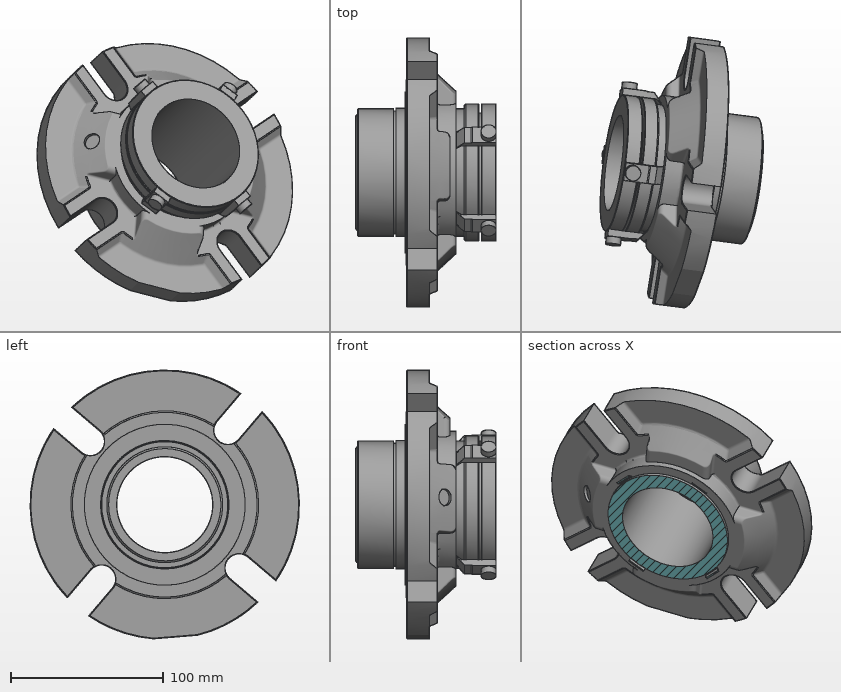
import cadquery as cq
import math

SKEW = -4.65
QUARTER = 90.0

LENGTH = 92.63
BORE_DIAMETER = 62.99
NOSE_DIAMETER = 76.17
NOSE_LENGTH = 1.45
NOSE_CHAMFER = 1.2
SLEEVE_DIAMETER = 84.02
SLEEVE_CHAMFER = 0.6
SLEEVE_GROOVE_DIAMETER = 81.1
SLEEVE_GROOVE_START = 25.2
SLEEVE_GROOVE_WIDTH = 1.5
SHOULDER_DIAMETER = 84.45
COLLAR_DIAMETER = 90.32
COLLAR_START = 71.6
COLLAR_CHAMFER = 1.1
COLLAR_EDGE_BREAK = 0.45
COLLAR_GROOVE_DIAMETER = 78.18
COLLAR_GROOVE_START = 81.2
COLLAR_GROOVE_WIDTH = 1.6

FLANGE_RADIUS = 88.5
FLANGE_FRONT = 33.8
FLANGE_BACK = 48.7
PAD_BACK = 54.1
FLANGE_CHAMFER = 0.5
FLAT_DISTANCE = 87.3
GASKET_RADIUS = 61.7
GASKET_HEIGHT = 0.5
GASKET_BEVEL_WIDTH = 1.0
PILOT_DIAMETER = 105.77
PILOT_HEIGHT = 1.2

SLOT_WIDTH = 18.4
SLOT_CENTRE_RADIUS = 64.1
PAD_BASE_HALF_WIDTH = 22.8
PAD_TOP_HALF_WIDTH = 18.1

HUB_RADIUS = 48.3
HUB_BACK = 66.3
CONE_RADIUS = 64.5
CONE_SLOPE = 0.92
LOBE_HALF_WIDTH = 22.3
HUB_FILLET = 1.5
LOBE_END_ROUND = 4.0
LOBE_EDGE_ROUND = 1.0
RECESS_FILLET = 2.5
SHORT_LOBE_BACK = 62.3
PORT_DIAMETER = 11.0
PORT_DEPTH = 2.0
PORT_X = 59.0

CLIP_ANGLES = (60, 135, 240, 315)
CLIP_WIDTH = 11.8
CLIP_OUTER = 49.5
CLIP_STEP = 0.35
CLIP_STEP_X = 76.1
CLIP_STEP_LENGTH = 0.9
CLIP_INNER = 45.0
HOOK_START = 66.4
HOOK_TIP_HEIGHT = 0.7
HOOK_OUTER_END = 71.7
HOOK_INNER_END = 69.8
SCREW_DIAMETER = 10.0
SCREW_TOP = 54.0

FAR = 2 * FLANGE_RADIUS


def cylinder(x_start, x_end, radius):
    """Solid disc on the X axis."""
    return cq.Workplane("YZ").workplane(offset=x_start).circle(radius).extrude(x_end - x_start)


def turned(points):
    """Revolve an (x, radius) outline about X."""
    return cq.Workplane("XY").polyline(points).close().revolve(360, (0, 0), (1, 0))


def around_x(body, angle):
    return body.rotate((0, 0, 0), (1, 0, 0), angle)


def cone_radius(x):
    return CONE_RADIUS - CONE_SLOPE * (x - PAD_BACK)


def cone(x_start, x_end):
    return turned([
        (x_start, 0),
        (x_start, cone_radius(x_start)),
        (x_end, cone_radius(x_end)),
        (x_end, 0),
    ])


def make_sleeve():
    nose = cylinder(0, NOSE_LENGTH, NOSE_DIAMETER / 2).faces("<X").chamfer(NOSE_CHAMFER)
    barrel = cylinder(NOSE_LENGTH, SLEEVE_GROOVE_START, SLEEVE_DIAMETER / 2)
    barrel = barrel.faces("<X").chamfer(SLEEVE_CHAMFER)
    shoulder_start = SLEEVE_GROOVE_START + SLEEVE_GROOVE_WIDTH
    groove = cylinder(SLEEVE_GROOVE_START, shoulder_start, SLEEVE_GROOVE_DIAMETER / 2)
    shoulder = cylinder(shoulder_start, HUB_BACK, SHOULDER_DIAMETER / 2)
    tail = cylinder(HUB_BACK, COLLAR_START, SLEEVE_DIAMETER / 2)
    return nose.union(barrel).union(groove).union(shoulder).union(tail)


def make_collar():
    radius = COLLAR_DIAMETER / 2
    groove_end = COLLAR_GROOVE_START + COLLAR_GROOVE_WIDTH
    front_ring = cylinder(COLLAR_START, COLLAR_GROOVE_START, radius)
    front_ring = front_ring.faces("<X").chamfer(COLLAR_CHAMFER).faces(">X").chamfer(COLLAR_EDGE_BREAK)
    groove = cylinder(COLLAR_GROOVE_START, groove_end, COLLAR_GROOVE_DIAMETER / 2)
    rear_ring = cylinder(groove_end, LENGTH, radius).faces("<X or >X").chamfer(COLLAR_EDGE_BREAK)
    return front_ring.union(groove).union(rear_ring)


def make_pad_bar():
    """Raised bar with sloping flanks along Y, crossing the axis to serve two opposite slots."""
    return (
        cq.Workplane("XZ")
        .polyline([
            (FLANGE_FRONT, -PAD_BASE_HALF_WIDTH),
            (FLANGE_BACK, -PAD_BASE_HALF_WIDTH),
            (PAD_BACK, -PAD_TOP_HALF_WIDTH),
            (PAD_BACK, PAD_TOP_HALF_WIDTH),
            (FLANGE_BACK, PAD_BASE_HALF_WIDTH),
            (FLANGE_FRONT, PAD_BASE_HALF_WIDTH),
        ])
        .close()
        .extrude(FAR, both=True)
    )


def make_slot():
    """Round-bottomed slot that opens through the rim along +Y."""
    slot = cq.Workplane("YZ").center(SLOT_CENTRE_RADIUS, 0).circle(SLOT_WIDTH / 2).extrude(LENGTH)
    mouth = cq.Workplane("XY").box(LENGTH, FAR, SLOT_WIDTH, centered=(False, False, True))
    return slot.union(mouth.translate((0, SLOT_CENTRE_RADIUS, 0)))


def cut_slots(body):
    for i in range(4):
        body = body.cut(around_x(make_slot(), SKEW + QUARTER * (i + 0.5)))
    return body


def cone_edges(plate, x_start, x_end):
    """Edges of the cone that are centred between two positions along X."""
    span = cq.selectors.BoxSelector((x_start, -FAR, -FAR), (x_end, FAR, FAR))
    return plate.faces("%CONE").edges(span)


def fillet_recesses(plate):
    """Round the inside corners where the cone meets the pad flanks, then the recess floors."""
    margin = FLANGE_CHAMFER / 2
    plate = cone_edges(plate, FLANGE_BACK + margin, PAD_BACK - margin).fillet(RECESS_FILLET)
    return cone_edges(plate, FLANGE_BACK - margin, FLANGE_BACK + margin).fillet(RECESS_FILLET)


def make_flange():
    """Plate with pads, slots, and a rim that is flat on one side."""
    plate = cylinder(FLANGE_FRONT, FLANGE_BACK, FAR).union(cone(FLANGE_BACK, PAD_BACK))
    for i in range(2):
        plate = plate.union(around_x(make_pad_bar(), SKEW + QUARTER * (i + 0.5)))
    plate = fillet_recesses(plate)
    rim = cylinder(FLANGE_FRONT, PAD_BACK, FLANGE_RADIUS)
    flat = cq.Workplane("XY").box(LENGTH, FAR, FAR, centered=(False, False, True))
    rim = rim.cut(around_x(flat.translate((0, FLAT_DISTANCE, 0)), SKEW + 3 * QUARTER))
    flange = cut_slots(plate.intersect(rim))
    return flange.faces("<X").chamfer(FLANGE_CHAMFER).faces(">X").chamfer(FLANGE_CHAMFER)


def make_gasket_face():
    """Two shallow steps standing proud of the flange front."""
    gasket_front = FLANGE_FRONT - GASKET_HEIGHT
    gasket = cut_slots(turned([
        (gasket_front, 0),
        (gasket_front, GASKET_RADIUS - GASKET_BEVEL_WIDTH),
        (FLANGE_FRONT, GASKET_RADIUS),
        (FLANGE_BACK, GASKET_RADIUS),
        (FLANGE_BACK, 0),
    ]))
    pilot = cylinder(FLANGE_FRONT - PILOT_HEIGHT, FLANGE_BACK, PILOT_DIAMETER / 2)
    return gasket.union(pilot)


def foot_arc_middle(corner):
    """Middle point of the quarter arc that fillets an inside corner at the pad face."""
    inset = HUB_FILLET * (1 - math.sqrt(0.5))
    return (PAD_BACK + inset, corner + inset)


def make_lobe(x_end):
    """One conical lobe with flared feet and rounded ends, centred on +Y."""
    side = LOBE_HALF_WIDTH
    half = (
        cq.Workplane("XZ")
        .moveTo(FLANGE_BACK, 0)
        .lineTo(FLANGE_BACK, side + HUB_FILLET)
        .lineTo(PAD_BACK, side + HUB_FILLET)
        .threePointArc(foot_arc_middle(side), (PAD_BACK + HUB_FILLET, side))
        .lineTo(x_end, side)
        .lineTo(x_end, 0)
        .close()
        .extrude(-FAR)
        .faces(">X").edges(">Z")
        .fillet(LOBE_END_ROUND)
    )
    lobe = half.union(half.mirror("XY")).intersect(cone(FLANGE_BACK, x_end))
    return cone_edges(lobe, PAD_BACK + HUB_FILLET / 2, LENGTH).fillet(LOBE_EDGE_ROUND)


def make_hub():
    hub = (
        cq.Workplane("XY")
        .moveTo(FLANGE_BACK, 0)
        .lineTo(FLANGE_BACK, HUB_RADIUS + HUB_FILLET)
        .lineTo(PAD_BACK, HUB_RADIUS + HUB_FILLET)
        .threePointArc(foot_arc_middle(HUB_RADIUS), (PAD_BACK + HUB_FILLET, HUB_RADIUS))
        .lineTo(HUB_BACK, HUB_RADIUS)
        .lineTo(HUB_BACK, 0)
        .close()
        .revolve(360, (0, 0), (1, 0))
    )
    for i in range(4):
        x_end = SHORT_LOBE_BACK if i == 1 else HUB_BACK
        hub = hub.union(around_x(make_lobe(x_end), SKEW + QUARTER * i))
    return hub


def make_port():
    """Blind round recess square to the cone of the lobe that faces -Y."""
    tilt = math.degrees(math.atan(CONE_SLOPE))
    tool = cq.Workplane("XZ").circle(PORT_DIAMETER / 2).extrude(2 * PORT_DEPTH)
    tool = tool.translate((0, PORT_DEPTH, 0))
    tool = tool.rotate((0, 0, 0), (0, 0, 1), 180 - tilt)
    return around_x(tool.translate((PORT_X, cone_radius(PORT_X), 0)), SKEW + 2 * QUARTER)


def make_clip():
    """Hooked plate on the collar with a screw head, centred on +Y."""
    sleeve_radius = SLEEVE_DIAMETER / 2
    plate = (
        cq.Workplane("XY")
        .polyline([
            (HOOK_START, sleeve_radius),
            (HOOK_START, sleeve_radius + HOOK_TIP_HEIGHT),
            (HOOK_OUTER_END, CLIP_OUTER - CLIP_STEP),
            (CLIP_STEP_X, CLIP_OUTER - CLIP_STEP),
            (CLIP_STEP_X + CLIP_STEP_LENGTH, CLIP_OUTER),
            (LENGTH, CLIP_OUTER),
            (LENGTH, CLIP_INNER),
            (HOOK_INNER_END, CLIP_INNER),
        ])
        .close()
        .extrude(CLIP_WIDTH / 2, both=True)
    )
    head = (
        cq.Workplane("XZ", origin=(LENGTH - SCREW_DIAMETER / 2, CLIP_INNER, 0))
        .circle(SCREW_DIAMETER / 2)
        .extrude(CLIP_INNER - SCREW_TOP)
    )
    return plate.union(head)


result = make_sleeve().union(make_collar())
result = result.union(make_flange()).union(make_gasket_face()).union(make_hub()).cut(make_port())
for clip_angle in CLIP_ANGLES:
    result = result.union(around_x(make_clip(), clip_angle))
result = result.cut(cylinder(0, LENGTH, BORE_DIAMETER / 2))